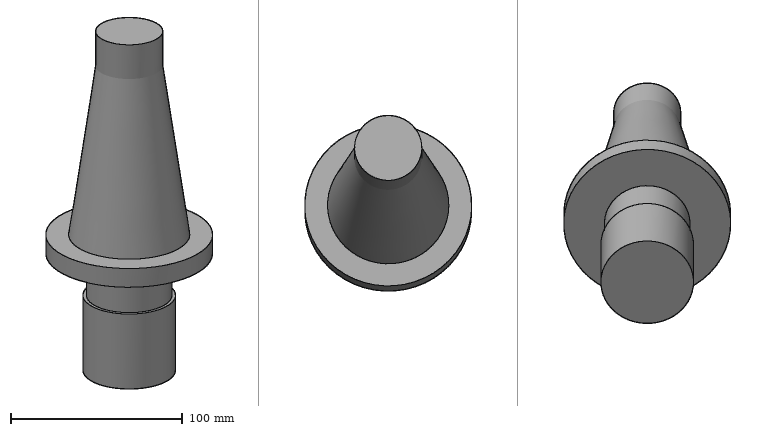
import cadquery as cq

GAUGE_DIAMETER = 69.85
TAPER_RATIO = 7 / 24
GAUGE_TO_TIP = 126.8
GAUGE_TO_BASE = 90.0
GAUGE_TO_FLANGE = 3.2
PILOT_LENGTH = 22.0
FLANGE_DIAMETER = 97.5
FLANGE_THICKNESS = 12.0
NECK_DIAMETER = 50.0
NOSE_DIAMETER = 54.1
NOSE_LENGTH = 48.0


def taper_diameter(z):
    """Diameter of the taper at height z."""
    return GAUGE_DIAMETER - TAPER_RATIO * z


tip_z = GAUGE_TO_TIP
pilot_z = tip_z - PILOT_LENGTH
flange_top_z = -GAUGE_TO_FLANGE
flange_bottom_z = flange_top_z - FLANGE_THICKNESS
base_z = -GAUGE_TO_BASE
nose_top_z = base_z + NOSE_LENGTH

pilot_diameter = taper_diameter(pilot_z)

sections = [
    (NOSE_DIAMETER, NOSE_DIAMETER, base_z, nose_top_z),
    (NECK_DIAMETER, NECK_DIAMETER, nose_top_z, flange_bottom_z),
    (FLANGE_DIAMETER, FLANGE_DIAMETER, flange_bottom_z, flange_top_z),
    (taper_diameter(flange_top_z), pilot_diameter, flange_top_z, pilot_z),
    (pilot_diameter, pilot_diameter, pilot_z, tip_z),
]


def turned_body():
    """Revolve the stepped half profile, drawn on the -Y side, around the Z axis."""
    profile = cq.Workplane("YZ").moveTo(0, base_z)
    last_point = (0, base_z)
    for bottom_diameter, top_diameter, bottom_z, top_z in sections:
        bottom_point = (-bottom_diameter / 2, bottom_z)
        top_point = (-top_diameter / 2, top_z)
        if bottom_point != last_point:
            profile = profile.lineTo(*bottom_point)
        profile = profile.lineTo(*top_point)
        last_point = top_point
    profile = profile.lineTo(0, tip_z).close()
    return profile.revolve(360, (0, 0, 0), (0, 1, 0))


result = turned_body()